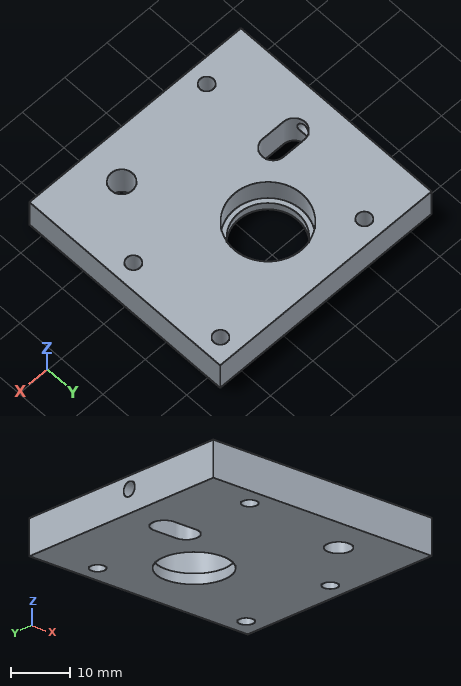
import cadquery as cq

length = 50.0
width = 46.0
thickness = 7.0

bore_center = (24.0, 31.0)
seat_diameter = 16.0
seat_depth = 5.0
bore_diameter = 14.0

mount_diameter = 3.0
edge_margin = 4.0
left_column_x = 12.0
right_column_x = length - edge_margin
middle_row_y = 21.0
mount_centers = [
    (left_column_x, edge_margin),
    (left_column_x, width - edge_margin),
    (right_column_x, middle_row_y),
    (right_column_x, width - edge_margin),
]

large_hole_diameter = 5.0
large_hole_center = (36.0, 8.0)

slot_length = 10.0
slot_width = 5.0
slot_center_x = 10.5

side_hole_diameter = 2.8
side_hole_height = 4.5


def through_holes(centers, diameter):
    return cq.Workplane("XY").pushPoints(centers).circle(diameter / 2).extrude(thickness)


plate = cq.Workplane("XY").box(length, width, thickness, centered=False)

seat = (
    cq.Workplane("XY", origin=(*bore_center, thickness - seat_depth))
    .circle(seat_diameter / 2)
    .extrude(seat_depth)
)

slot = (
    cq.Workplane("XY", origin=(slot_center_x, middle_row_y, 0))
    .slot2D(slot_length, slot_width)
    .extrude(thickness)
)

side_hole = (
    cq.Workplane("YZ", origin=(0, middle_row_y, side_hole_height))
    .circle(side_hole_diameter / 2)
    .extrude(slot_center_x)
)

result = (
    plate.cut(through_holes([bore_center], bore_diameter))
    .cut(seat)
    .cut(through_holes(mount_centers, mount_diameter))
    .cut(through_holes([large_hole_center], large_hole_diameter))
    .cut(slot)
    .cut(side_hole)
)